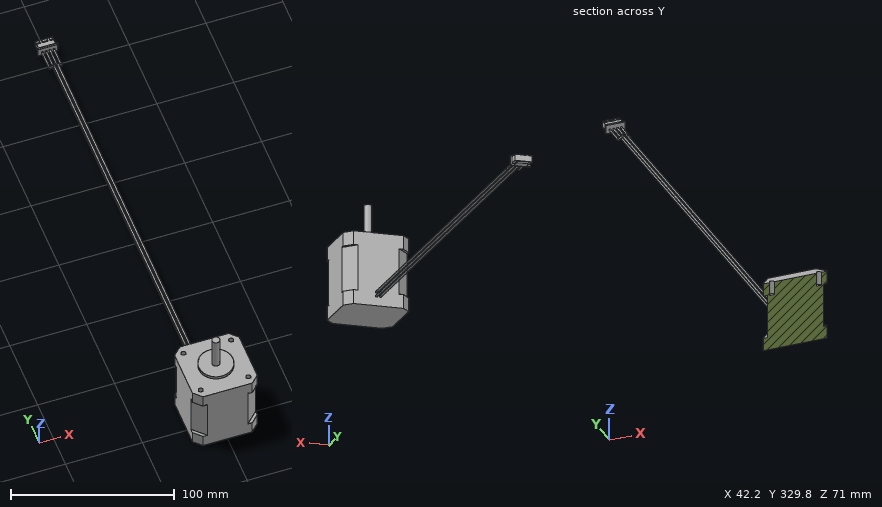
import cadquery as cq

MOTOR_WIDTH = 42.2
MOTOR_HEIGHT = 46.8
PLATE_HEIGHT = 9.0
PLATE_FLAT_WIDTH = 32.0
STACK_FLAT_WIDTH = 26.5
BOSS_DIAMETER = 22.0
BOSS_HEIGHT = 2.0
SHAFT_DIAMETER = 5.0
OVERALL_HEIGHT = 71.0
MOUNT_SPACING = 31.0
MOUNT_HOLE_DIAMETER = 3.0

OVERALL_LENGTH = 329.8
BACK_FACE_Y = MOTOR_WIDTH / 2
CABLE_END_Y = OVERALL_LENGTH - MOTOR_WIDTH / 2
WIRE_DIAMETER = 1.3
WIRE_PITCH = 2.5
BUNDLE_Z = 7.5
LOWER_WIRE_Z = BUNDLE_Z - WIRE_PITCH / 2
UPPER_WIRE_Z = BUNDLE_Z + WIRE_PITCH / 2
GATHER_Y = CABLE_END_Y - 20.8
GATHER_RUN = 1.0

HOUSING_WIDTH = 11.2
HOUSING_BOTTOM = 5.0
HOUSING_TOP = 9.2
FLANGE_WIDTH = 13.0
FLANGE_THICKNESS = 1.3
FLANGE_BOTTOM = 4.0
FLANGE_TOP = 10.0
CONNECTOR_LENGTH = 7.5
FLANGE_BACK_Y = CABLE_END_Y - CONNECTOR_LENGTH
RAIL_WIDTH = 8.0
RAIL_SETBACK = 1.3
RELIEF_LENGTH = 2.5
RELIEF_RAMP = 1.0
RELIEF_DEPTH = 0.3
RIB_WIDTH = 1.3
RIB_OFFSET = WIRE_PITCH


def block(width, y_start, y_end, z_start, z_end):
    """A box centred on X = 0 between the given Y and Z limits."""
    size = (width, y_end - y_start, z_end - z_start)
    return cq.Workplane("XY").box(*size, centered=(True, False, False)).translate((0, y_start, z_start))


def motor_section(bottom, height, flat_width):
    """One square slice of the motor with its four upright edges cut off."""
    section = cq.Workplane("XY").workplane(offset=bottom).rect(MOTOR_WIDTH, MOTOR_WIDTH).extrude(height)
    return section.edges("|Z").chamfer((MOTOR_WIDTH - flat_width) / 2)


def make_motor():
    top_plate_bottom = MOTOR_HEIGHT - PLATE_HEIGHT
    boss_top = MOTOR_HEIGHT + BOSS_HEIGHT

    stack = motor_section(PLATE_HEIGHT, top_plate_bottom - PLATE_HEIGHT, STACK_FLAT_WIDTH)
    motor = motor_section(0, PLATE_HEIGHT, PLATE_FLAT_WIDTH)
    motor = motor.union(stack, clean=False)
    motor = motor.union(motor_section(top_plate_bottom, PLATE_HEIGHT, PLATE_FLAT_WIDTH), clean=False)

    boss = cq.Workplane("XY").workplane(offset=MOTOR_HEIGHT).circle(BOSS_DIAMETER / 2).extrude(BOSS_HEIGHT)
    shaft = cq.Workplane("XY").workplane(offset=boss_top).circle(SHAFT_DIAMETER / 2)
    motor = motor.union(boss, clean=False).union(shaft.extrude(OVERALL_HEIGHT - boss_top), clean=False)

    mount_holes = (
        cq.Workplane("XY")
        .workplane(offset=top_plate_bottom)
        .rect(MOUNT_SPACING, MOUNT_SPACING, forConstruction=True)
        .vertices()
        .circle(MOUNT_HOLE_DIAMETER / 2)
        .extrude(PLATE_HEIGHT)
    )
    return motor.cut(mount_holes, clean=False)


def wire(points):
    """A round wire that follows straight runs through the given points, the first run along Y."""
    path = cq.Workplane("XY").polyline(points)
    start = cq.Plane(origin=points[0], xDir=(1, 0, 0), normal=(0, -1, 0))
    return cq.Workplane(start).circle(WIRE_DIAMETER / 2).sweep(path, transition="right")


def inner_wire(side):
    """A straight wire of the lower layer."""
    x = side * WIRE_PITCH / 2
    return wire([(x, FLANGE_BACK_Y, LOWER_WIRE_Z), (x, BACK_FACE_Y, LOWER_WIRE_Z)])


def outer_wire(side):
    """A wire that starts at the outside and moves onto the inner wire beside it."""
    inner_x = side * WIRE_PITCH / 2
    outer_x = side * WIRE_PITCH * 3 / 2
    return wire([
        (outer_x, FLANGE_BACK_Y, LOWER_WIRE_Z),
        (outer_x, GATHER_Y, LOWER_WIRE_Z),
        (inner_x, GATHER_Y - GATHER_RUN, UPPER_WIRE_Z),
        (inner_x, BACK_FACE_Y, UPPER_WIRE_Z),
    ])


def mouth_relief():
    """Shallow ramped cut across the top of the mouth, interrupted by two ribs."""
    start_y = CABLE_END_Y - RELIEF_LENGTH
    relief = (
        cq.Workplane("YZ")
        .moveTo(start_y, HOUSING_TOP)
        .lineTo(start_y + RELIEF_RAMP, HOUSING_TOP - RELIEF_DEPTH)
        .lineTo(CABLE_END_Y, HOUSING_TOP - RELIEF_DEPTH)
        .lineTo(CABLE_END_Y, HOUSING_TOP)
        .close()
        .extrude(HOUSING_WIDTH / 2, both=True)
    )
    rib = block(RIB_WIDTH, start_y, CABLE_END_Y, HOUSING_TOP - RELIEF_DEPTH, HOUSING_TOP)
    for side in (-1, 1):
        relief = relief.cut(rib.translate((side * RIB_OFFSET, 0, 0)))
    return relief


def make_connector():
    housing = block(HOUSING_WIDTH, FLANGE_BACK_Y, CABLE_END_Y, HOUSING_BOTTOM, HOUSING_TOP)
    flange = block(
        FLANGE_WIDTH, FLANGE_BACK_Y, FLANGE_BACK_Y + FLANGE_THICKNESS, FLANGE_BOTTOM, FLANGE_TOP
    )
    rail = block(RAIL_WIDTH, FLANGE_BACK_Y, CABLE_END_Y - RAIL_SETBACK, FLANGE_BOTTOM, HOUSING_BOTTOM)
    return housing.cut(mouth_relief()).union(flange).union(rail)


def make_cable():
    cable = make_connector()
    for side in (-1, 1):
        cable = cable.union(inner_wire(side)).union(outer_wire(side))
    return cable


motor = make_motor()
cable = make_cable()

result = cq.Compound.makeCompound([motor.val(), cable.val()])